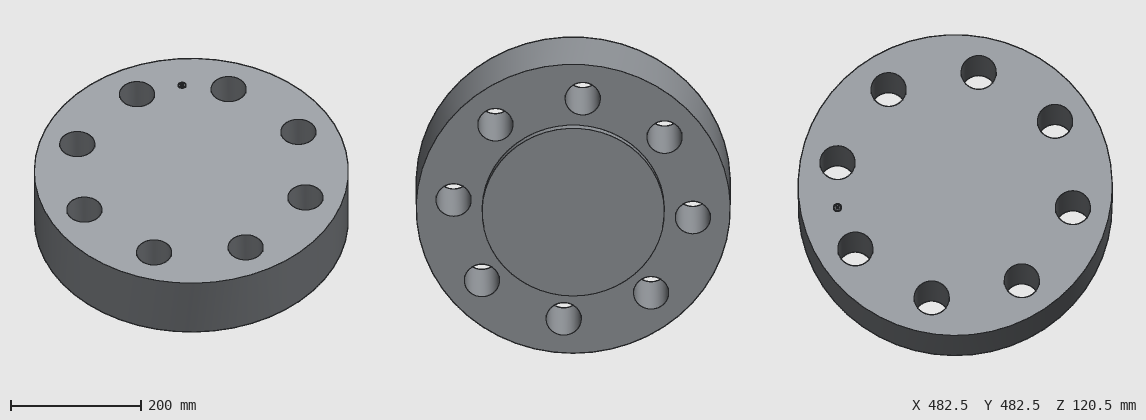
import cadquery as cq
import math

flange_diameter = 482.5
total_height = 120.5
face_height = 13.0
flange_thickness = total_height - face_height

face_diameter = 280.0

bolt_count = 8
bolt_hole_diameter = 54.0
bolt_circle_diameter = 368.5

plug_angle = 90.0 + 180.0 / bolt_count
groove_outer_diameter = 12.5
plug_diameter = 10.0
groove_depth = 2.0
socket_diameter = 5.0
socket_depth = 1.0
pilot_diameter = 2.5
pilot_depth = 2.0


def make_body():
    """Disc standing on its narrower raised face, which rests on Z = 0."""
    raised_face = cq.Workplane("XY").circle(face_diameter / 2).extrude(face_height)
    disc = (
        cq.Workplane("XY")
        .workplane(offset=face_height)
        .circle(flange_diameter / 2)
        .extrude(flange_thickness)
    )
    return raised_face.union(disc)


def cut_bolt_holes(body):
    """Ring of through holes, the first one on the +X axis."""
    return (
        body.faces(">Z")
        .workplane(origin=(0, 0, total_height))
        .polarArray(bolt_circle_diameter / 2, 0, 360, bolt_count)
        .hole(bolt_hole_diameter)
    )


def cut_plug_details(body):
    """Ring groove that leaves a flush plug, with a stepped blind socket at the plug's centre."""
    angle = math.radians(plug_angle)
    radius = bolt_circle_diameter / 2
    plug_plane = cq.Workplane(
        "XY", origin=(radius * math.cos(angle), radius * math.sin(angle), total_height)
    )
    groove = (
        plug_plane.circle(groove_outer_diameter / 2)
        .circle(plug_diameter / 2)
        .extrude(-groove_depth)
    )
    socket = plug_plane.circle(socket_diameter / 2).extrude(-socket_depth)
    pilot = plug_plane.circle(pilot_diameter / 2).extrude(-pilot_depth)
    return body.cut(groove).cut(socket).cut(pilot)


result = cut_plug_details(cut_bolt_holes(make_body()))